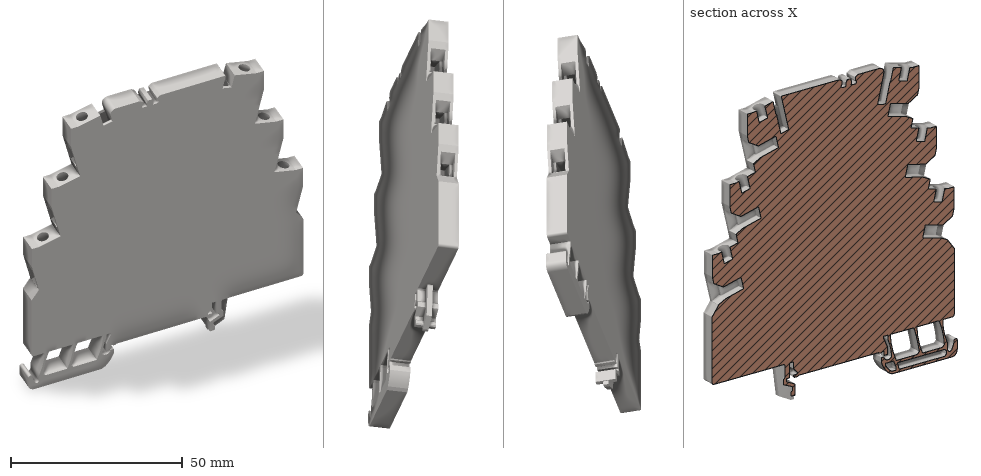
import cadquery as cq
import math

thickness = 6.1
total_height = 97.8
half_length = 43.5
body_bottom = 12.6
bottom_corner_radius = 0.8
tilt = math.radians(13.5)
slope = math.tan(tilt)

tier_count = 3
top_tier_height = 95.2
tier_drop = 20.7
top_tier_reach = 30.9
tier_advance = 6.3
tier_ledge = 2.3
tier_face_height = 6.9
lower_notch_height = 37.4
lower_notch_base = 34.1

screw_radius = 1.8
screw_depth = 4.1
screw_inset = 4.9

port_drop = 9.2
port_opening = 7.2
port_width = 4.3
ledge_depth = 2.9
wire_hole_top = 2.7
wire_hole_bottom = 6.6
wire_hole_width = 2.6
wire_hole_depth = 6.5

tooth_tip = 21.5
notch_depth = 4.4
notch_width = 2.9
marker_slot_width = 4.1
marker_slot_depth = 6.8
marker_slot_inset = 0.2
top_corner_radius = 1.8
mouth_radius = 0.3
groove_center = -5.6
groove_floor = 95.1
groove_shoulder = 97.1

block_bottom = 7.9
block_lip = 7.6
web_thickness = 1.6
foot_end = -44.6
hook_tip_radius = 0.7
heel_radius = 2.1
leg_blend_radius = 3.9
cell_floor = 4.0
foot_pocket_depth = 4.1
foot_pocket_floor = 1.0

overlap = 0.5


def prism(points, width):
    """Straight-sided YZ outline, extruded evenly about the mid-plane."""
    return cq.Workplane("YZ").polyline(points).close().extrude(width / 2, both=True)


def mirrored(points, side):
    return [(side * y, z) for y, z in points]


def tier_reach(tier):
    return top_tier_reach + tier * tier_advance


def tier_height(tier):
    return top_tier_height - tier * tier_drop


def slope_start(tier):
    return tier_reach(tier) - tier_ledge


def slope_height(tier, y):
    return tier_height(tier) + (slope_start(tier) - y) * slope


def face_bottom(tier):
    return tier_height(tier) - tier_face_height


def undercut_reach(tier, z):
    return tier_reach(tier) - (face_bottom(tier) - z) * slope


def undercut_corner(tier):
    """Where the undercut face of a tier meets the sloped top of the tier below."""
    rise = slope * (slope_start(tier + 1) - tier_reach(tier))
    z = (tier_height(tier + 1) + rise + slope ** 2 * face_bottom(tier)) / (1 + slope ** 2)
    return undercut_reach(tier, z), z


def notch_point(along, depth):
    """Point in a marker notch: along the tier slope inwards, and down from the tooth tip."""
    y = tooth_tip - along * math.cos(tilt) - depth * math.sin(tilt)
    z = slope_height(0, tooth_tip) + along * math.sin(tilt) - depth * math.cos(tilt)
    return y, z


def port_point(tier, down, depth):
    """Point in a wire port: down the undercut face from the opening's top, and inwards."""
    z_top = tier_height(tier) - port_drop
    y = undercut_reach(tier, z_top) - down * math.sin(tilt) - depth * math.cos(tilt)
    z = z_top - down * math.cos(tilt) + depth * math.sin(tilt)
    return y, z


def half_outline():
    """+Y half of the stepped outline, from the middle of the top edge to the bottom."""
    notch_inner = notch_point(notch_width, notch_depth)
    mouth = notch_inner[0] + (total_height - notch_inner[1]) * slope
    points = [
        (0, total_height),
        (mouth, total_height),
        notch_inner,
        notch_point(0, notch_depth),
        notch_point(0, 0),
    ]
    for tier in range(tier_count):
        points += [
            (slope_start(tier), tier_height(tier)),
            (tier_reach(tier), tier_height(tier)),
            (tier_reach(tier), face_bottom(tier)),
        ]
        if tier < tier_count - 1:
            points.append(undercut_corner(tier))
    points += [
        (undercut_reach(tier_count - 1, lower_notch_height), lower_notch_height),
        (half_length, lower_notch_base),
        (half_length, body_bottom),
        (0, body_bottom),
    ]
    return points, mouth


def make_housing():
    points, mouth = half_outline()
    housing = prism(points, thickness).union(prism(mirrored(points, -1), thickness), clean=True)
    for side in (1, -1):
        corner = cq.selectors.NearestToPointSelector((0, side * half_length, body_bottom))
        housing = housing.edges(corner).fillet(bottom_corner_radius)
    top_corner = cq.selectors.NearestToPointSelector((0, -mouth, total_height))
    housing = housing.edges(top_corner).fillet(top_corner_radius)
    mouth_corner = cq.selectors.NearestToPointSelector((0, mouth, total_height))
    return housing.edges(mouth_corner).fillet(mouth_radius)


def latch_groove():
    """Groove with two undercut pockets either side of a central rib."""
    half = [
        (0, total_height + overlap),
        (3.3, total_height + overlap),
        (3.3, total_height),
        (2.25, groove_shoulder),
        (2.25, 96.1),
        (2.7, 95.55),
        (2.4, groove_floor),
        (1.0, groove_floor),
        (1.1, 96.1),
        (0.7, groove_shoulder),
        (0, groove_shoulder),
    ]
    groove = prism(half, thickness).union(prism(mirrored(half, -1), thickness))
    return groove.translate((0, groove_center, 0))


def marker_slot(side):
    bottom = notch_depth + marker_slot_depth
    points = [
        notch_point(marker_slot_inset, notch_depth),
        notch_point(notch_width, notch_depth),
        notch_point(notch_width, bottom),
        notch_point(marker_slot_inset, bottom),
    ]
    return prism(mirrored(points, side), marker_slot_width)


def screw_hole(tier, side):
    y = tier_reach(tier) - screw_inset
    mouth = cq.Vector(0, side * y, slope_height(tier, y))
    axis = cq.Vector(0, side * math.sin(tilt), math.cos(tilt))
    start = mouth + axis * overlap
    return cq.Workplane(cq.Solid.makeCylinder(screw_radius, screw_depth + overlap, start, axis * -1))


def wire_port(tier, side):
    """Funnel narrowing to a ledge, then a smaller wire hole behind the ledge."""
    funnel = [
        port_point(tier, 0, 0),
        port_point(tier, wire_hole_top, ledge_depth),
        port_point(tier, wire_hole_bottom, ledge_depth),
        port_point(tier, port_opening, 0),
    ]
    end = ledge_depth + wire_hole_depth
    hole = [
        port_point(tier, wire_hole_top, ledge_depth),
        port_point(tier, wire_hole_top, end),
        port_point(tier, wire_hole_bottom, end),
        port_point(tier, wire_hole_bottom, ledge_depth),
    ]
    port = prism(mirrored(funnel, side), port_width)
    return port.union(prism(mirrored(hole, side), wire_hole_width))


def rail_block():
    """Central block that rests on the rail, lipped at both ends."""
    return prism([
        (14.3, body_bottom + overlap),
        (14.3, 10.6),
        (12.9, 9.0),
        (12.9, 8.6),
        (14.3, 8.6),
        (14.3, block_bottom),
        (13.9, block_lip),
        (12.6, block_lip),
        (12.3, block_bottom),
        (-16.3, block_bottom),
        (-16.6, block_lip),
        (-17.4, block_lip),
        (-17.7, block_bottom),
        (-18.2, block_bottom),
        (-18.2, 6.6),
        (-19.3, 6.6),
        (-19.3, 6.0),
        (-19.6, 6.0),
        (-19.6, 9.0),
        (-18.2, 12.0),
        (-18.2, body_bottom + overlap),
    ], thickness)


def rail_clip():
    """Full-width cranked clip stiffened by a thin central web along its outer side."""
    strip = prism([
        (15.6, body_bottom + overlap),
        (15.6, block_bottom),
        (16.6, block_bottom),
        (16.6, 7.0),
        (13.6, 5.6),
        (13.6, 2.0),
        (15.0, 2.0),
        (15.3, 2.3),
        (15.3, 3.3),
        (14.7, 3.8),
        (14.7, 4.9),
        (18.0, 6.4),
        (18.0, 7.9),
        (17.3, 8.6),
        (17.3, 12.2),
        (17.7, body_bottom),
        (17.7, body_bottom + overlap),
    ], thickness)
    web = prism([
        (20.5, body_bottom + overlap),
        (20.5, body_bottom),
        (19.3, 2.9),
        (15.0, 0.7),
        (13.9, 0.7),
        (13.9, 5.4),
        (17.1, 7.0),
        (16.6, body_bottom + overlap),
    ], web_thickness)
    return strip.union(web)


def foot_outline():
    """Solid outline of the foot: rail jaw, curved sole, release hook and outer leg."""
    tip_center = foot_end + hook_tip_radius
    tip_base = 4.9
    heel_center = foot_end + heel_radius
    heel_offset = heel_radius * math.sqrt(0.5)
    leg_foot = (-41.2, 4.8)
    foot = (
        cq.Workplane("YZ")
        .moveTo(-19.6, body_bottom + overlap)
        .lineTo(-19.6, 11.3)
        .threePointArc((-20.4, 8.7), (-20.8, 6.1))
        .lineTo(-20.8, 5.5)
        .threePointArc((-19.7, 5.0), (-18.3, 5.9))
        .lineTo(-18.3, 6.3)
        .lineTo(-17.2, 6.3)
        .lineTo(-17.2, 4.6)
        .threePointArc((-18.3, 2.4), (-20.0, 0.6))
        .lineTo(-21.1, 0)
        .lineTo(heel_center, 0)
        .threePointArc((heel_center - heel_offset, heel_radius - heel_offset), (foot_end, heel_radius))
        .lineTo(foot_end, tip_base)
        .threePointArc((tip_center, tip_base + hook_tip_radius), (tip_center + hook_tip_radius, tip_base))
        .lineTo(-43.1, 4.1)
        .lineTo(-42.4, 2.4)
        .threePointArc((-41.9, 2.1), (-41.2, 2.6))
        .lineTo(*leg_foot)
        .threePointArc((-39.9, 8.4), (-39.4, 11.7))
        .lineTo(-39.4, body_bottom + overlap)
        .close()
        .extrude(thickness / 2, both=True)
    )
    leg_edge = cq.selectors.NearestToPointSelector((0, *leg_foot))
    return foot.edges(leg_edge).fillet(leg_blend_radius)


def foot_cell(top_inner, mid_inner, bottom_inner, top_outer, mid_outer, bottom_outer):
    """Opening between two bowed legs; each leg side is given at three heights."""
    mid_height = 8.2
    corner = 0.7
    return (
        cq.Workplane("YZ")
        .moveTo(top_inner, body_bottom)
        .threePointArc((mid_inner, mid_height), (bottom_inner, cell_floor))
        .lineTo(bottom_outer + corner, cell_floor)
        .lineTo(bottom_outer, cell_floor + corner)
        .threePointArc((mid_outer, mid_height), (top_outer, body_bottom - corner))
        .lineTo(top_outer + corner / 2, body_bottom)
        .close()
        .extrude(thickness / 2, both=True)
    )


def foot_pocket(points):
    """Pocket sunk into the -X side of the foot."""
    plane = cq.Workplane("YZ", origin=(-thickness / 2, 0, 0))
    return plane.polyline(points).close().extrude(foot_pocket_depth)


def rail_foot():
    foot = foot_outline()
    foot = foot.cut(foot_cell(-20.5, -21.2, -22.7, -29.1, -30.1, -30.8))
    foot = foot.cut(foot_cell(-30.1, -30.7, -32.1, -38.2, -39.3, -39.8))
    jaw_pocket = [
        (-18.8, 3.9),
        (-21.6, 3.9),
        (-22.5, 1.9),
        (-22.5, foot_pocket_floor),
        (-21.0, foot_pocket_floor),
        (-20.2, 1.6),
        (-18.8, 3.3),
    ]
    sole_pocket = [
        (-23.1, 3.0),
        (-40.0, 3.0),
        (-40.5, 2.5),
        (-40.5, 1.5),
        (-40.0, foot_pocket_floor),
        (-23.8, foot_pocket_floor),
    ]
    return foot.cut(foot_pocket(jaw_pocket)).cut(foot_pocket(sole_pocket))


result = make_housing().cut(latch_groove())
for side in (1, -1):
    result = result.cut(marker_slot(side))
    for tier in range(tier_count):
        result = result.cut(screw_hole(tier, side)).cut(wire_port(tier, side))
result = result.union(rail_block()).union(rail_clip()).union(rail_foot())